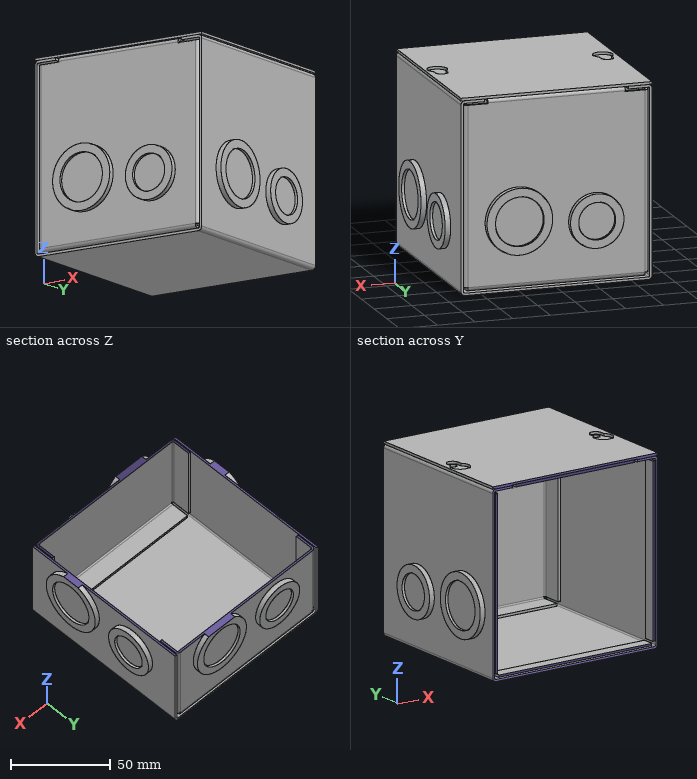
import cadquery as cq


overall_width = 107.5
box_size = 101.6
sheet = 1.4
bend_radius = 2.2
return_width = 12.6
plate_clearance = 0.3
floor_clearance = 0.5
plate_flange_depth = 12.6
tab_width = 72.9
tab_relief = 0.4

knockout_height = (overall_width - box_size) / 2
knockout_recess = 1.5
knockout_offset = 20.5
large_radius = 17.4
large_recess_radius = 12.9
small_radius = 14.2
small_recess_radius = 9.8
side_knockout_base = 17.5
end_knockout_base = 19.5

mount_offset = 44.0
screw_hole_radius = 2.2
key_slot_radius = 3.2
key_head_radius = 5.2
key_head_shift = 6.6

half_box = box_size / 2
inner_bend_radius = bend_radius - sheet
plate_half_width = half_box - sheet - plate_clearance
plate_bottom = sheet + floor_clearance
plate_flat_half_width = plate_half_width - bend_radius
plate_flat_bottom = plate_bottom + bend_radius
plate_flat_top = box_size - bend_radius - tab_relief


def knockout_pair(wall_plane, large_position, small_position, base_height):
    """Large and small knockouts on a wall plane whose local y is the height."""
    sizes = (
        (large_position, large_radius, large_recess_radius),
        (small_position, small_radius, small_recess_radius),
    )
    discs = cq.Workplane(wall_plane)
    for position, radius, recess_radius in sizes:
        centre = (position, base_height + radius)
        disc = cq.Workplane(wall_plane).center(*centre).circle(radius).extrude(knockout_height)
        recess = (
            cq.Workplane(wall_plane).workplane(offset=knockout_height - knockout_recess)
            .center(*centre).circle(recess_radius).extrude(knockout_recess)
        )
        discs = discs.add(disc.cut(recess))
    return discs


def add_discs(body, discs):
    for disc in discs.vals():
        body = body.union(cq.Workplane(disc))
    return body


def make_wrapper():
    """Floor, two sides and two narrow top returns, folded from one sheet."""
    outer = (
        cq.Workplane("XY").box(box_size, box_size, box_size, centered=(True, True, False))
        .edges("|Y").fillet(bend_radius)
    )
    inner_size = box_size - 2 * sheet
    inner = (
        cq.Workplane("XY").workplane(offset=sheet)
        .box(inner_size, box_size, inner_size, centered=(True, True, False))
        .edges("|Y").fillet(inner_bend_radius)
    )
    top_opening = (
        cq.Workplane("XY").workplane(offset=half_box)
        .rect(box_size - 2 * return_width, box_size).extrude(half_box)
    )
    screw_holes = (
        cq.Workplane("XY").workplane(offset=half_box)
        .pushPoints([(-mount_offset, 0), (mount_offset, 0)])
        .circle(screw_hole_radius).extrude(half_box)
    )
    wrapper = outer.cut(inner).cut(top_opening).cut(screw_holes)

    left_wall = cq.Plane(origin=(-half_box, 0, 0), xDir=(0, -1, 0), normal=(-1, 0, 0))
    right_wall = cq.Plane(origin=(half_box, 0, 0), xDir=(0, 1, 0), normal=(1, 0, 0))
    left_discs = knockout_pair(left_wall, knockout_offset, -knockout_offset, side_knockout_base)
    right_discs = knockout_pair(right_wall, -knockout_offset, knockout_offset, side_knockout_base)
    return add_discs(add_discs(wrapper, left_discs), right_discs)


def plate_block(inset, start):
    """Block filling the end plate's outline, with its front edges rounded, moved in by the inset."""
    width = 2 * (plate_half_width - inset)
    height = box_size - plate_bottom - 2 * inset
    radius = bend_radius - inset
    return (
        cq.Workplane("XY")
        .box(width, plate_flange_depth, height, centered=(True, False, False))
        .faces("<Y").edges().fillet(radius)
        .translate((0, start, plate_bottom + inset))
    )


def make_end_plate():
    """Front wall with folded bottom, side and top flanges and notched corners."""
    front = -half_box
    plate = plate_block(0, front).cut(plate_block(sheet, front + sheet))

    notch_width = half_box - plate_flat_half_width
    top_notch_width = half_box - tab_width / 2
    for side in (-1, 1):
        bottom_notch = cq.Workplane("XY").box(
            notch_width, box_size, plate_flat_bottom, centered=(True, True, False)
        ).translate((side * (half_box - notch_width / 2), 0, 0))
        top_notch = cq.Workplane("XY").box(
            top_notch_width, box_size, box_size - plate_flat_top, centered=(True, True, False)
        ).translate((side * (half_box - top_notch_width / 2), 0, plate_flat_top))
        plate = plate.cut(bottom_notch).cut(top_notch)

    front_wall = cq.Plane(origin=(0, front, 0), xDir=(1, 0, 0), normal=(0, -1, 0))
    discs = knockout_pair(front_wall, -knockout_offset, knockout_offset, end_knockout_base)
    return add_discs(plate, discs)


def make_lid():
    """Flat square sheet with two keyholes."""
    lid = cq.Workplane("XY").workplane(offset=box_size).rect(box_size, box_size).extrude(sheet)
    for x in (-mount_offset, mount_offset):
        underside = cq.Workplane("XY").workplane(offset=box_size)
        slot_end = underside.center(x, 0).circle(key_slot_radius).extrude(sheet)
        head = underside.center(x, -key_head_shift).circle(key_head_radius).extrude(sheet)
        neck = (
            underside.center(x, -key_head_shift / 2)
            .rect(2 * key_slot_radius, key_head_shift).extrude(sheet)
        )
        lid = lid.cut(slot_end).cut(head).cut(neck)
    return lid


wrapper = make_wrapper()
lid = make_lid()
end_plates = [make_end_plate().rotate((0, 0, 0), (0, 0, 1), turn) for turn in (0, 180)]

result = cq.Compound.makeCompound([
    wrapper.solids().val(),
    lid.solids().val(),
    *[plate.solids().val() for plate in end_plates],
])